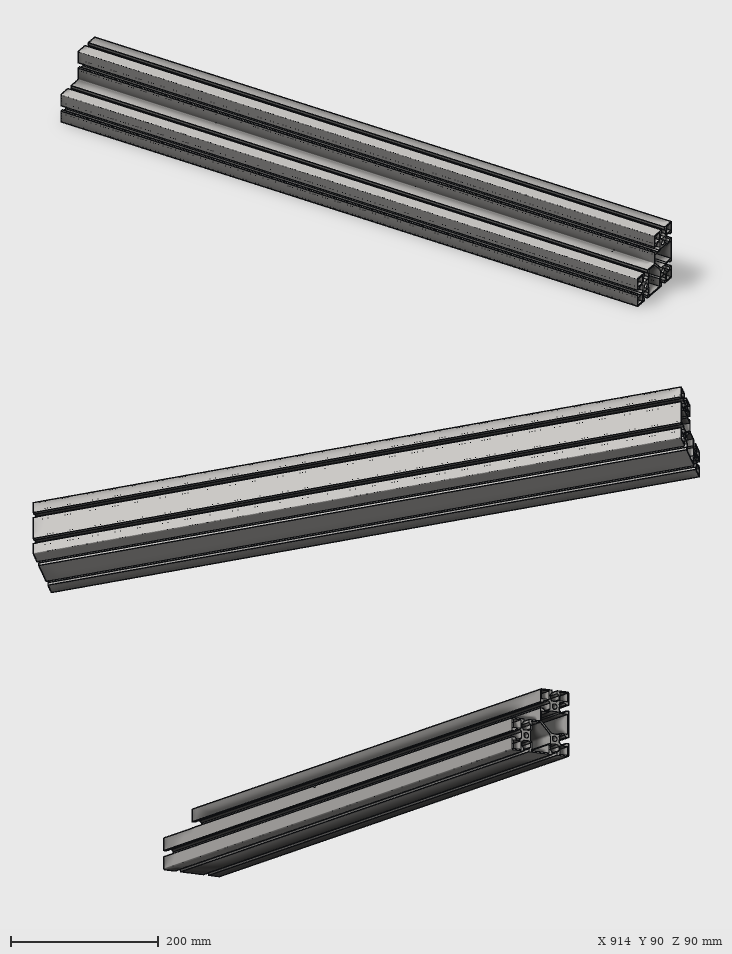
import cadquery as cq
import math

length = 914.0
module = 45.0
half = module / 2
corner_radius = 2.0
notch_radius = 2.0

wall = 2.0
core_hole_diameter = 7.0
slot_floor = 7.0
chamber_face = 6.9
rib_face = 8.7
diagonal_wall = 3.0
root_radius = 7.0

slot_half_opening = 4.1
slot_half_width = 6.9
lip_depth = 4.1
lip_chamfer = 0.3

corner_module = (half, -half)
upper_module = (half, half)
side_module = (-half, -half)

slotted_faces = {
    corner_module: (0, 270),
    upper_module: (0, 90, 180),
    side_module: (90, 180, 270),
}

hollow_corners = {
    corner_module: [(1, -1)],
    upper_module: [(1, 1), (-1, 1)],
    side_module: [(-1, 1), (-1, -1)],
}


def prism(points):
    return cq.Workplane("YZ").polyline(points).close().extrude(length)


def round_edge(body, point, radius):
    """Fillet the lengthwise edge that passes through the point (Y, Z)."""
    y, z = point
    reach = 0.1
    box = cq.selectors.BoxSelector(
        (0, y - reach, z - reach), (length, y + reach, z + reach)
    )
    return body.edges(box).fillet(radius)


def l_bar():
    notch = (0, 0)
    outer_corners = [
        (-module, 0),
        (-module, -module),
        (module, -module),
        (module, module),
        (0, module),
    ]
    bar = prism([notch] + outer_corners)
    bar = round_edge(bar, notch, notch_radius)
    for corner in outer_corners:
        bar = round_edge(bar, corner, corner_radius)
    return bar


def t_slot(centre, angle):
    """T-slot with 45 degree flanks, open on the module face at the given angle."""
    flank = slot_half_width - slot_half_opening
    lip = half - lip_depth
    one_side = [
        (half, slot_half_opening + lip_chamfer),
        (half - lip_chamfer, slot_half_opening),
        (lip, slot_half_opening),
        (lip - flank, slot_half_width),
        (slot_floor + flank, slot_half_width),
        (slot_floor, slot_half_opening),
    ]
    other_side = [(out, -across) for out, across in reversed(one_side)]
    slot = prism(one_side + other_side)
    return slot.rotate((0, 0, 0), (1, 0, 0), angle).translate((0, *centre))


def core_hole(centre):
    return cq.Workplane("YZ").center(*centre).circle(core_hole_diameter / 2).extrude(length)


def corner_hollow(centre, direction):
    size = half - wall - rib_face
    offset = rib_face + size / 2
    y = centre[0] + direction[0] * offset
    z = centre[1] + direction[1] * offset
    return cq.Workplane("YZ").center(y, z).rect(size, size).extrude(length)


def upper_chamber_outline():
    """Chamber between the corner and upper modules, starting at the root of the diagonal wall."""
    rise = diagonal_wall / math.sqrt(2)
    floor = -half + chamber_face
    ceiling = half - chamber_face
    rib_floor = -half + rib_face
    rib_ceiling = half - rib_face
    return [
        (rise - floor, floor),
        (half + chamber_face, floor),
        (half + rib_face, rib_floor),
        (module - wall, rib_floor),
        (module - wall, rib_ceiling),
        (half + rib_face, rib_ceiling),
        (half + chamber_face, ceiling),
        (half - chamber_face, ceiling),
        (half - rib_face, rib_ceiling),
        (wall, rib_ceiling),
        (wall, rise - wall),
    ]


def chamber(outline):
    return round_edge(prism(outline), outline[0], root_radius)


bar = l_bar()

for centre, angles in slotted_faces.items():
    bar = bar.cut(core_hole(centre))
    for angle in angles:
        bar = bar.cut(t_slot(centre, angle))

for centre, directions in hollow_corners.items():
    for direction in directions:
        bar = bar.cut(corner_hollow(centre, direction))

upper_outline = upper_chamber_outline()
lower_outline = [(-z, -y) for y, z in upper_outline]
bar = bar.cut(chamber(upper_outline))
bar = bar.cut(chamber(lower_outline))

result = bar